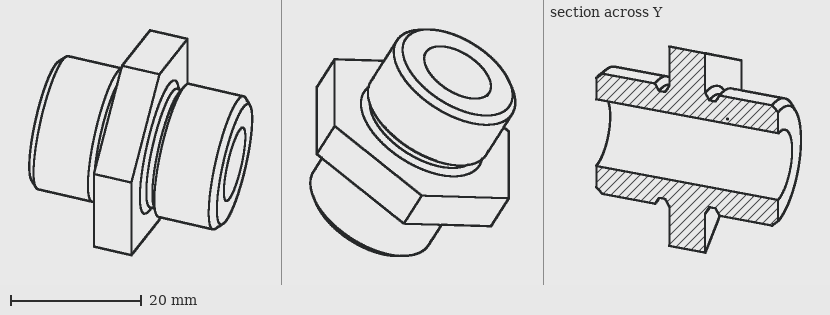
import cadquery as cq
import math

corner_diameter = 34.65
total_length = 30.0
hex_thickness = 6.0
spigot_diameter = 20.95
groove_diameter = 18.65
bore_diameter = 11.5
end_chamfer = 1.0
groove_floor_width = 0.97
groove_flank_angle = 30.0

half_length = total_length / 2
hex_face = hex_thickness / 2
spigot_radius = spigot_diameter / 2
groove_radius = groove_diameter / 2
flank_width = (spigot_radius - groove_radius) * math.tan(math.radians(groove_flank_angle))


def hexagon():
    """Central hexagonal collar with two corners on the Z axis."""
    return (
        cq.Workplane("YZ")
        .polygon(6, corner_diameter)
        .extrude(hex_face, both=True)
        .rotate((0, 0, 0), (1, 0, 0), 90)
    )


def spigot():
    """Chamfered spigot on the +X side, with a V-flanked relief groove against the hexagon."""
    floor_start = hex_face + flank_width
    floor_end = floor_start + groove_floor_width
    groove_end = floor_end + flank_width
    return (
        cq.Workplane("XY")
        .polyline([
            (0, 0),
            (0, spigot_radius),
            (hex_face, spigot_radius),
            (floor_start, groove_radius),
            (floor_end, groove_radius),
            (groove_end, spigot_radius),
            (half_length - end_chamfer, spigot_radius),
            (half_length, spigot_radius - end_chamfer),
            (half_length, 0),
        ])
        .close()
        .revolve(360, (0, 0, 0), (1, 0, 0))
    )


def bore():
    """Through hole along the fitting axis."""
    return cq.Workplane("YZ").circle(bore_diameter / 2).extrude(half_length, both=True)


right_spigot = spigot()
left_spigot = right_spigot.mirror("YZ")
result = hexagon().union(right_spigot).union(left_spigot).cut(bore())